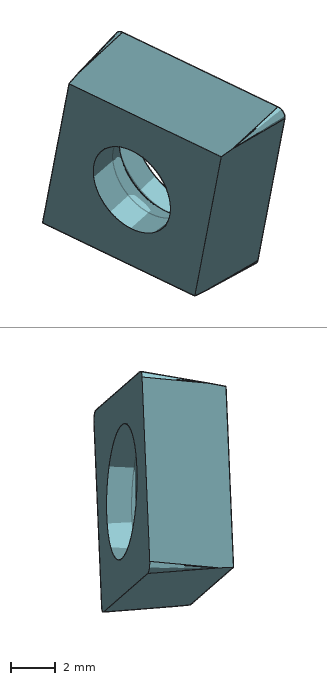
import cadquery as cq
import math

LENGTH = 11.2
THICKNESS = 3.96
ACUTE_ANGLE = 80.0
RELIEF_ANGLE = 7.0
CORNER_RADIUS = 0.4
HOLE_DIAMETER = 4.4
HOLE_DEPTH = 1.4
LIP_RADIUS = 1.4
BORE_DIAMETER = 6.1
BORE_FILLET = 0.2

acute = math.radians(ACUTE_ANGLE)
relief_slope = math.tan(math.radians(RELIEF_ANGLE))

rounding_loss = CORNER_RADIUS * (1 / math.tan(acute / 2) - 1)
inscribed_diameter = (LENGTH + 2 * rounding_loss) / (1 / math.tan(acute) + 1 / math.sin(acute))

Y_LARGE = THICKNESS / 2
Y_SMALL = -THICKNESS / 2


def rhombus_corners(half_height, y):
    """Corners, in order around, of a rhombus around an inscribed circle of radius half_height."""
    lean = half_height / math.tan(acute)
    half_side = half_height / math.sin(acute)
    return [
        cq.Vector(-half_side - lean, y, -half_height),
        cq.Vector(half_side - lean, y, -half_height),
        cq.Vector(half_side + lean, y, half_height),
        cq.Vector(-half_side + lean, y, half_height),
    ]


def closed_wire(points):
    return cq.Wire.makePolygon(points, close=True)


def tapered_body():
    large_half = inscribed_diameter / 2
    small_half = large_half - THICKNESS * relief_slope
    large_wire = closed_wire(rhombus_corners(large_half, Y_LARGE))
    small_wire = closed_wire(rhombus_corners(small_half, Y_SMALL))
    return cq.Workplane(cq.Solid.makeLoft([large_wire, small_wire], True))


def corner_waste(corner, previous_corner, next_corner, center):
    """Material between a sharp flank edge and the cone that rounds it down to a point."""
    cone_height = CORNER_RADIUS / relief_slope
    apex = center - cq.Vector(0, cone_height, 0)
    to_center = center - corner
    tangent_points = []
    for neighbour in (previous_corner, next_corner):
        edge_direction = (neighbour - corner).normalized()
        tangent_points.append(corner + edge_direction * to_center.dot(edge_direction))
    base = [corner, tangent_points[0], center, tangent_points[1]]

    faces = [cq.Face.makeFromWires(closed_wire(base))]
    for start, end in zip(base, base[1:] + base[:1]):
        faces.append(cq.Face.makeFromWires(closed_wire([start, end, apex])))
    pyramid = cq.Solid.makeSolid(cq.Shell.makeShell(faces))
    cone = cq.Solid.makeCone(CORNER_RADIUS, 0, cone_height, center, cq.Vector(0, -1, 0))
    return pyramid.cut(cone)


def round_corners(body):
    half_height = inscribed_diameter / 2
    corners = rhombus_corners(half_height, Y_LARGE)
    centers = rhombus_corners(half_height - CORNER_RADIUS, Y_LARGE)
    for i, corner in enumerate(corners):
        waste = corner_waste(corner, corners[i - 1], corners[(i + 1) % len(corners)], centers[i])
        body = body.cut(cq.Workplane(waste))
    return body


def screw_hole():
    """Through hole that widens along two tangent arcs, convex then concave, into a counterbore."""
    hole_radius = HOLE_DIAMETER / 2
    bore_radius = BORE_DIAMETER / 2
    sweep = math.acos(1 - (bore_radius - hole_radius) / (LIP_RADIUS + BORE_FILLET))
    y_lip = Y_SMALL + HOLE_DEPTH
    y_bore = y_lip + (LIP_RADIUS + BORE_FILLET) * math.sin(sweep)

    def lip_point(angle):
        return (
            hole_radius + LIP_RADIUS * (1 - math.cos(angle)),
            y_lip + LIP_RADIUS * math.sin(angle),
        )

    fillet_middle = (
        bore_radius - BORE_FILLET * (1 - math.cos(sweep / 2)),
        y_bore - BORE_FILLET * math.sin(sweep / 2),
    )
    return (
        cq.Workplane("XY")
        .moveTo(0, Y_SMALL)
        .lineTo(hole_radius, Y_SMALL)
        .lineTo(hole_radius, y_lip)
        .threePointArc(lip_point(sweep / 2), lip_point(sweep))
        .threePointArc(fillet_middle, (bore_radius, y_bore))
        .lineTo(bore_radius, Y_LARGE)
        .lineTo(0, Y_LARGE)
        .close()
        .revolve(360, (0, 0), (0, 1))
    )


result = round_corners(tapered_body()).cut(screw_hole()).solids()